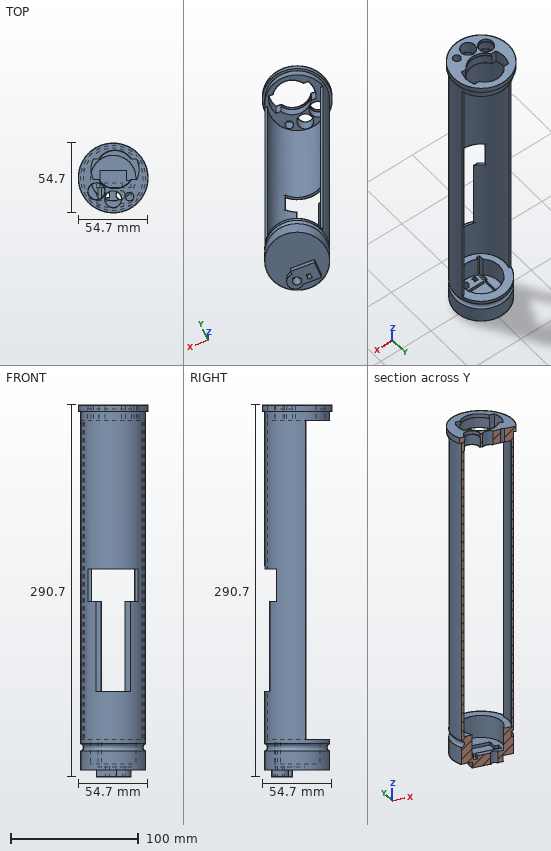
import cadquery as cq

total_height = 290.7
flange_bottom = 285.8
cap_lip_bottom = 287.5
cap_bottom = 278.5
base_top = 29.5
groove_top = 26.0
groove_bottom = 20.0
base_bottom = 5.2
recess_floor = 10.2
pocket_floor = 7.5

flange_diameter = 54.7
body_diameter = 51.0
bore_diameter = 46.8
recess_diameter = 35.5

back_opening_y = 6.7

window_steps = [
    (-16.3, 137.2, 162.5),
    (-21.5, 67, 137.2),
]

main_hole_x = 1.5
main_hole_y = 6.7
main_hole_diameter = 29.7
lobe_diameter = 37.5
lobe_bottom_y = -1.2
lobe_top_y = 14.8
undercut = 0.3

cap_holes = [
    (13.0, -13.0, -10.5),
    (13.0, 0, -16.5),
    (6.7, 12.8, -14.5),
]

pocket_width = 20.5
pocket_top_y = 5.8
pocket_shoulder_y = -2.0
pocket_shoulder_right_x = 14.0
pocket_bottom_y = -7.5

side_slot_left_x = -12.0
side_slot_right_x = -9.0
side_slot_front_y = -17.5

foot_left_x = -13.0
foot_front_y = -18.0
foot_back_y = -3.8
boss_diameter = 13.5
boss_x = 7.3
boss_y = -13.5
boss_bore_diameter = 7.0
boss_bore_x = 5.8
slot_left_x = -6.0
slot_right_x = -3
slot_front_y = -15.5
slot_back_y = -11.5


def cylinder(diameter, bottom, top, x=0, y=0):
    return cq.Workplane("XY", origin=(x, y, bottom)).circle(diameter / 2).extrude(top - bottom)


def block(x_min, x_max, y_min, y_max, bottom, top):
    size = (x_max - x_min, y_max - y_min, top - bottom)
    return cq.Workplane("XY").box(*size, centered=False).translate((x_min, y_min, bottom))


def make_body():
    """Flanged tube, closed at the base and the cap and open along its back."""
    radius = body_diameter / 2
    body = cylinder(body_diameter, base_bottom, total_height)
    body = body.union(cylinder(flange_diameter, flange_bottom, total_height))
    body = body.cut(cylinder(bore_diameter, base_top, cap_bottom))
    return body.cut(block(-radius, radius, back_opening_y, radius, base_top, cap_bottom))


def make_groove():
    """Ring with a circular-arc section around the base."""
    outer = body_diameter / 2
    inner = bore_diameter / 2
    middle = (groove_bottom + groove_top) / 2
    section = (
        cq.Workplane("XZ")
        .moveTo(outer, groove_bottom)
        .threePointArc((inner, middle), (outer, groove_top))
        .close()
    )
    return section.revolve(360, (0, 0), (0, 1))


def make_windows():
    radius = body_diameter / 2
    windows = cq.Workplane("XY")
    for depth_y, bottom, top in window_steps:
        windows = windows.add(block(-radius, radius, -radius, depth_y, bottom, top))
    return windows.combine()


def make_cap_openings():
    main_hole = cylinder(main_hole_diameter, cap_bottom, total_height, main_hole_x, main_hole_y)
    lobes = cylinder(lobe_diameter, cap_bottom, total_height, main_hole_x, main_hole_y)
    lobe_band = block(
        main_hole_x - lobe_diameter, main_hole_x + lobe_diameter,
        lobe_bottom_y, lobe_top_y, cap_bottom, total_height,
    )
    openings = main_hole.union(lobes.intersect(lobe_band))
    for diameter, x, y in cap_holes:
        openings = openings.union(cylinder(diameter, cap_bottom, total_height, x, y))
    undercut_holes = [(main_hole_diameter, main_hole_x, main_hole_y), cap_holes[0]]
    for diameter, x, y in undercut_holes:
        openings = openings.union(cylinder(diameter + 2 * undercut, cap_bottom, cap_lip_bottom, x, y))
    return openings


def make_base_recess():
    """Round recess with a stepped pocket in its floor and a slot at its side."""
    recess = cylinder(recess_diameter, recess_floor, base_top)
    narrow = block(
        -pocket_width / 2, pocket_width / 2,
        pocket_shoulder_y, pocket_top_y, pocket_floor, recess_floor,
    )
    wide = block(
        -pocket_width / 2, pocket_shoulder_right_x,
        pocket_bottom_y, pocket_shoulder_y, pocket_floor, recess_floor,
    )
    side_slot = block(
        side_slot_left_x, side_slot_right_x,
        side_slot_front_y, pocket_bottom_y, pocket_floor, base_top,
    )
    return recess.union(narrow).union(wide).union(side_slot)


def make_foot():
    foot = block(foot_left_x, boss_x, foot_front_y, foot_back_y, 0, base_bottom)
    return foot.union(cylinder(boss_diameter, 0, base_bottom, boss_x, boss_y))


def make_foot_passages():
    """Slot and bore running from the recess down through the foot."""
    slot = block(slot_left_x, slot_right_x, slot_front_y, slot_back_y, 0, base_top)
    return slot.union(cylinder(boss_bore_diameter, 0, base_top, boss_bore_x, boss_y))


result = (
    make_body()
    .cut(make_groove())
    .cut(make_windows())
    .cut(make_cap_openings())
    .cut(make_base_recess())
    .union(make_foot())
    .cut(make_foot_passages())
)